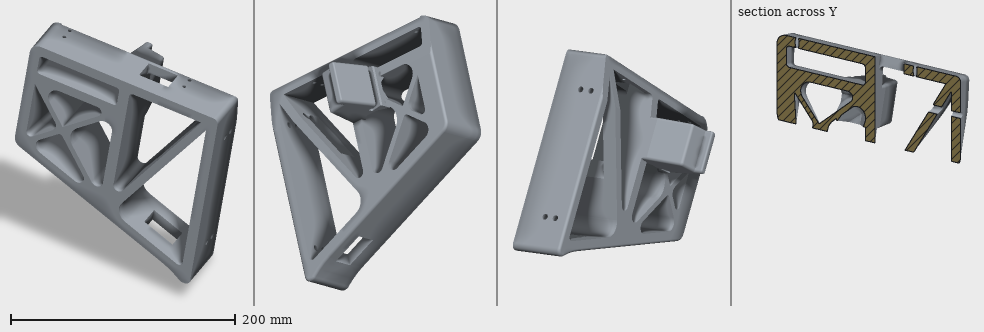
import cadquery as cq
import math


width = 187.5
thickness = 50.0
wall = 10.0
tilt = 17.5
left_height = 113.9
bottom_angle = 21.8
heel_height = 189.4
heel_angle = 37.0
heel_start = 167.1
heel_sweep_radius = 82.0
frame_corner = 10.0
heel_corner = 5.0

back_round = 2.5
top_depth = 41.3
top_lean = 11.8
top_round = 3.0

post_left = 89.9
post_right = 100.0
slot_bottom = 29.6
strut_angle = 60.0
strut_thickness = 8.0
strut_top = 171.8
brace_thickness = 5.0
fall_angle = 51.9
rise_angle = 41.2
cross_x = 43.0
cross_y = -76.2
triangle_top = -39.2
left_wall_flare = 10.0

wide_corner = 10.0
round_corner = 8.0
medium_corner = 6.0
narrow_corner = 5.0
wall_corner = 3.9
tight_corner = 3.0
cross_corner_left = 7.0
cross_corner_right = 15.0
strut_foot_corner = 12.9

cable_front = 16.4
cable_depth = 20.0
cable_step = 129.0
cable_right = 159.1

screw_depths = (25.5, 36.5)
top_screw_places = (20.7, 140.8)
top_screw_diameter = 3.5
side_screw_diameter = 5.5
side_screw_heights = (-36.3, -157.0)
access_diameter = 8.0
overrun = 2.0

hook_top = -29.6
hook_height = 39.8
hook_left = 60.5
hook_right = 100.0
hook_root = 43.9
hook_step = 57.7
hook_bevel_start = 55.5
hook_bevel_width = 0.8
hook_taper_start = 55.2
hook_edge = 2.5
hook_arm_left = 62.8
hook_arm_start = 62.8
hook_tip = 101.0
hook_tip_left = 71.4
hook_tip_right = 77.6
hook_tip_corner = 1.5
hook_notch = 93.5
hook_shoulder = 89.9
hook_shoulder_x = 94.4
hook_shoulder_corner = 3.0
recess_depth = 7.8
recess_taper = 45.0
groove_length = 10.7
groove_width = 4.7
groove_corner = 1.2
groove_angle = 13.0
groove_depth = 59.7


def line(point, angle):
    """The line through a point, as (slope, y at x = 0)."""
    slope = math.tan(math.radians(angle))
    return slope, point[1] - slope * point[0]


def lowered(base, distance):
    """The parallel line at a distance below (above when negative)."""
    slope, start = base
    return slope, start - distance * math.hypot(1, slope)


def at(base, x):
    slope, start = base
    return x, slope * x + start


def meet(first, second):
    return at(first, (second[1] - first[1]) / (first[0] - second[0]))


def rounded(plane, corners):
    """A closed outline through (point, radius) corners; radius 0 leaves a corner sharp."""
    stretches = []
    for i, (point, radius) in enumerate(corners):
        here = cq.Vector(*point)
        back = (cq.Vector(*corners[i - 1][0]) - here).normalized()
        ahead = (cq.Vector(*corners[(i + 1) % len(corners)][0]) - here).normalized()
        half = back.getAngle(ahead) / 2
        reach = radius / math.tan(half)
        middle = here + (back + ahead).normalized() * (radius / math.sin(half) - radius)
        stretches.append((here + back * reach, middle, here + ahead * reach, radius))
    first_end = stretches[0][2]
    path = plane.moveTo(first_end.x, first_end.y)
    for start, middle, end, radius in stretches[1:] + stretches[:1]:
        path = path.lineTo(start.x, start.y)
        if radius:
            path = path.threePointArc((middle.x, middle.y), (end.x, end.y))
    return path.close()


def opening(corners):
    """A hole straight through the frame."""
    return rounded(cq.Workplane("XY"), corners).extrude(-thickness)


right_inside = width - wall
inner_top = (0, -wall)
bottom_edge = line((0, -left_height), -bottom_angle)
inner_bottom = lowered(bottom_edge, -wall)
heel_edge = line(at(bottom_edge, heel_start), -heel_angle)
strut_upper = line((strut_top, -wall), strut_angle)
strut_lower = lowered(strut_upper, strut_thickness)
fall_upper = line((cross_x, cross_y), -fall_angle)
fall_lower = lowered(fall_upper, brace_thickness)
rise_upper = line((cross_x, cross_y), rise_angle)
rise_lower = lowered(rise_upper, brace_thickness)

top_slot = [
    ((wall, -wall), tight_corner),
    ((post_left, -wall), tight_corner),
    ((post_left, -slot_bottom), tight_corner),
    ((wall, -slot_bottom), tight_corner),
]
upper_triangle = [
    (meet(fall_upper, (0, triangle_top)), wide_corner),
    (meet(rise_upper, (0, triangle_top)), narrow_corner),
    ((cross_x, cross_y), 0),
]
right_triangle = [
    (at(rise_lower, post_left), round_corner),
    (at(fall_upper, post_left), medium_corner),
    (meet(rise_lower, fall_upper), cross_corner_right),
]
lower_triangle = [
    (meet(fall_lower, rise_lower), tight_corner),
    (meet(fall_lower, inner_bottom), medium_corner),
    (meet(rise_lower, inner_bottom), round_corner),
]
post_triangle = [
    ((post_right, -wall), wall_corner),
    (meet(strut_upper, inner_top), 0),
    (at(strut_upper, post_right), narrow_corner),
]
strut_triangle = [
    (at(strut_lower, right_inside), 0),
    (at(inner_bottom, right_inside), wall_corner),
    (meet(strut_lower, inner_bottom), strut_foot_corner),
]


def frame_blank():
    outline = [
        ((0, 0), frame_corner),
        ((width, 0), heel_corner),
        ((width, -heel_height), heel_corner),
        (meet(heel_edge, (0, -heel_height)), heel_corner),
        (at(bottom_edge, heel_start), heel_sweep_radius),
        (at(bottom_edge, 0), frame_corner),
    ]
    blank = rounded(cq.Workplane("XY"), outline).extrude(-thickness)
    return blank.faces("<Z").edges("not >Y").fillet(back_round)


def side_section():
    """The frame seen from the side: thinned at the top, with a rounded edge past the left corner."""
    lean_bottom = (thickness - top_depth) / math.tan(math.radians(top_lean))
    section = cq.Workplane("XY")
    for left, right, radius in ((0, frame_corner, 0), (frame_corner, width, top_round)):
        corners = [
            ((0, 0), 0),
            ((0, -top_depth), radius),
            ((-lean_bottom, -thickness), 0),
            ((-heel_height, -thickness), 0),
            ((-heel_height, 0), 0),
        ]
        plane = cq.Workplane("YZ", origin=(left, 0, 0))
        section = section.union(rounded(plane, corners).extrude(right - left))
    return section


def left_triangle():
    """The opening whose left wall slants inward toward the back."""

    def corners(left):
        return [
            (at(fall_lower, left), 0),
            (meet(fall_lower, rise_upper), cross_corner_left),
            (at(rise_upper, left), wall_corner),
        ]

    front = rounded(cq.Workplane("XY"), corners(wall))
    back = rounded(front.workplane(offset=-thickness), corners(wall + left_wall_flare))
    return back.loft(ruled=True)


def cable_slots():
    split = -2 * wall
    slots = cq.Workplane("XY")
    for left, right, low, high in (
        (post_right, cable_step, split, 0),
        (cable_step, cable_right, -heel_height, split),
    ):
        slot = cq.Workplane("XY").box(right - left, high - low, cable_depth, centered=False)
        slots = slots.union(slot.translate((left, low, -cable_front - cable_depth)))
    return slots


def bore(plane, center, diameter, length):
    return cq.Workplane(plane, origin=center).circle(diameter / 2).extrude(length)


def screw_holes():
    """Paired holes down the top wall and across the right wall, with access holes through the strut."""
    holes = cq.Workplane("XY")
    access_start = post_right + wall
    access_height = side_screw_heights[0]
    for depth in screw_depths:
        for x in top_screw_places:
            holes = holes.union(bore("XZ", (x, 0, -depth), top_screw_diameter, wall + overrun))
        for y in side_screw_heights:
            start = (right_inside - overrun, y, -depth)
            holes = holes.union(bore("YZ", start, side_screw_diameter, wall + overrun))
        start = (access_start, access_height, -depth)
        holes = holes.union(bore("YZ", start, access_diameter, right_inside - access_start))
    return holes


def hook_groove():
    return (
        cq.Workplane("XY")
        .box(2 * groove_length, hook_height, groove_width)
        .edges("|Y")
        .fillet(groove_corner)
        .rotate((0, 0, 0), (0, 1, 0), -groove_angle)
        .translate((hook_arm_left, hook_top - hook_height / 2, -groove_depth))
    )


def hook_recess(corners, depth):
    """A hollow in the front of the hook that narrows toward its floor."""
    plane = cq.Workplane("XY", origin=(0, 0, -hook_root))
    return rounded(plane, corners).extrude(-depth, taper=recess_taper)


def hook():
    outline = [
        ((hook_left, -hook_root), 0),
        ((hook_right, -hook_root), 0),
        ((hook_right, -hook_taper_start), 0),
        ((hook_shoulder_x, -hook_shoulder), hook_shoulder_corner),
        ((hook_tip_right, -hook_notch), 0),
        ((hook_tip_right, -hook_tip), hook_tip_corner),
        ((hook_tip_left, -hook_tip), hook_tip_corner),
        ((hook_arm_left, -hook_arm_start), 0),
        ((hook_arm_left, -hook_step), 0),
        ((hook_left + hook_bevel_width, -hook_step), 0),
        ((hook_left, -hook_bevel_start), 0),
    ]
    body = rounded(cq.Workplane("XZ", origin=(0, hook_top, 0)), outline).extrude(hook_height)
    body = body.faces(">Y").edges("not >Z").fillet(hook_edge)
    arm_start = (0, hook_top - hook_height - hook_edge, -hook_tip - hook_edge)
    arm_end = (width, hook_top, -hook_step - hook_edge / 2)
    body = body.faces("<Y").edges(cq.selectors.BoxSelector(arm_start, arm_end)).fillet(hook_edge)
    sharp_triangle = [(point, 0) for point, _ in upper_triangle]
    body = body.cut(hook_recess(sharp_triangle, thickness - hook_root))
    return body.cut(hook_recess(right_triangle, recess_depth)).cut(hook_groove())


frame = frame_blank().intersect(side_section())
for corners in (top_slot, upper_triangle, right_triangle, lower_triangle, post_triangle, strut_triangle):
    frame = frame.cut(opening(corners))
frame = frame.cut(left_triangle()).cut(cable_slots()).cut(screw_holes())

result = frame.union(hook()).rotate((0, 0, 0), (1, 0, 0), 90 - tilt)